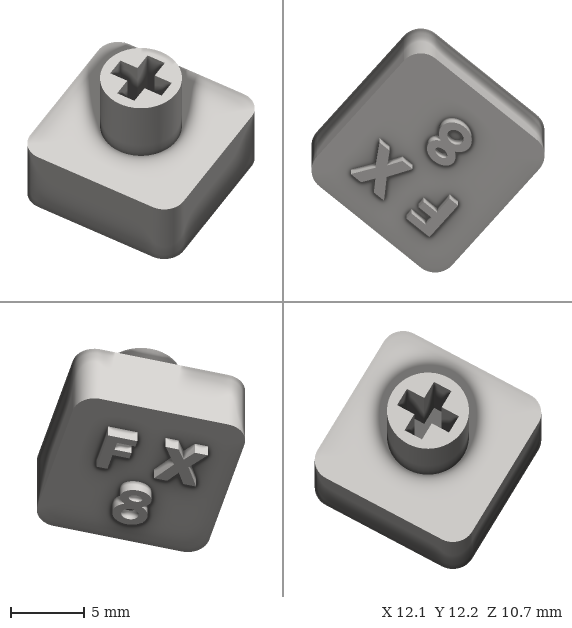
import cadquery as cq

block_x = 12.14
block_y = 12.2
block_height = 5.0
corner_radius = 1.52

stem_diameter = 5.6
stem_height = 4.8
cross_length = 4.07
cross_width = 1.37
socket_depth = stem_height

relief_height = 0.9
row_bottom = 0.77
row_top = 3.78

diagonal_center_x = -2.21
diagonal_center_y = 2.35
diagonal_half_width = 1.49
diagonal_waist = 0.51
diagonal_foot = 0.92

post_right = 3.35
post_width = 0.77
top_arm_end = 1.29
middle_arm_end = 1.39
arm_thickness = 0.51
middle_arm_center = 2.35

upper_oval_y = -1.39
upper_oval_radii = (1.1, 0.77)
lower_oval_y = -2.88
lower_oval_radii = (1.22, 0.96)
ring_side_wall = 0.61
ring_end_wall = 0.49


def block():
    body = cq.Workplane("XY").box(block_x, block_y, block_height, centered=(True, True, False))
    return body.edges("|Z").fillet(corner_radius)


def stem():
    return cq.Workplane("XY").workplane(offset=block_height).circle(stem_diameter / 2).extrude(stem_height)


def cross_socket():
    top = cq.Workplane("XY").workplane(offset=block_height + stem_height)
    along_x = top.rect(cross_length, cross_width).extrude(-socket_depth)
    along_y = top.rect(cross_width, cross_length).extrude(-socket_depth)
    return along_x.union(along_y)


def diagonal_cross():
    inner_foot = diagonal_half_width - diagonal_foot
    flank_run = diagonal_half_width - diagonal_waist
    lower_rise = diagonal_center_y - row_bottom
    upper_rise = row_top - diagonal_center_y
    lower_notch = row_bottom + inner_foot * lower_rise / flank_run
    upper_notch = row_top - inner_foot * upper_rise / flank_run
    right_side = [
        (0, lower_notch),
        (inner_foot, row_bottom),
        (diagonal_half_width, row_bottom),
        (diagonal_waist, diagonal_center_y),
        (diagonal_half_width, row_top),
        (inner_foot, row_top),
        (0, upper_notch),
    ]
    left_side = [(-x, y) for x, y in reversed(right_side[1:-1])]
    outline = right_side + left_side
    plane = cq.Workplane("XY", origin=(diagonal_center_x, 0, 0))
    return plane.polyline(outline).close().extrude(-relief_height)


def bar(left, right, bottom, top):
    plane = cq.Workplane("XY", origin=((left + right) / 2, (bottom + top) / 2, 0))
    return plane.rect(right - left, top - bottom).extrude(-relief_height)


def post_with_arms():
    post = bar(post_right - post_width, post_right, row_bottom, row_top)
    top_arm = bar(top_arm_end, post_right, row_top - arm_thickness, row_top)
    middle_arm = bar(
        middle_arm_end,
        post_right,
        middle_arm_center - arm_thickness / 2,
        middle_arm_center + arm_thickness / 2,
    )
    return post.union(top_arm).union(middle_arm)


def oval(center_y, radius_x, radius_y):
    return cq.Workplane("XY", origin=(0, center_y, 0)).ellipse(radius_x, radius_y).extrude(-relief_height)


def oval_rings():
    ovals = [(upper_oval_y, upper_oval_radii), (lower_oval_y, lower_oval_radii)]
    rings = cq.Workplane("XY")
    for center_y, (radius_x, radius_y) in ovals:
        rings = rings.add(oval(center_y, radius_x, radius_y))
    rings = rings.combine()
    for center_y, (radius_x, radius_y) in ovals:
        rings = rings.cut(oval(center_y, radius_x - ring_side_wall, radius_y - ring_end_wall))
    return rings


result = block().union(stem()).cut(cross_socket())
for relief in (diagonal_cross(), post_with_arms(), oval_rings()):
    result = result.union(relief)